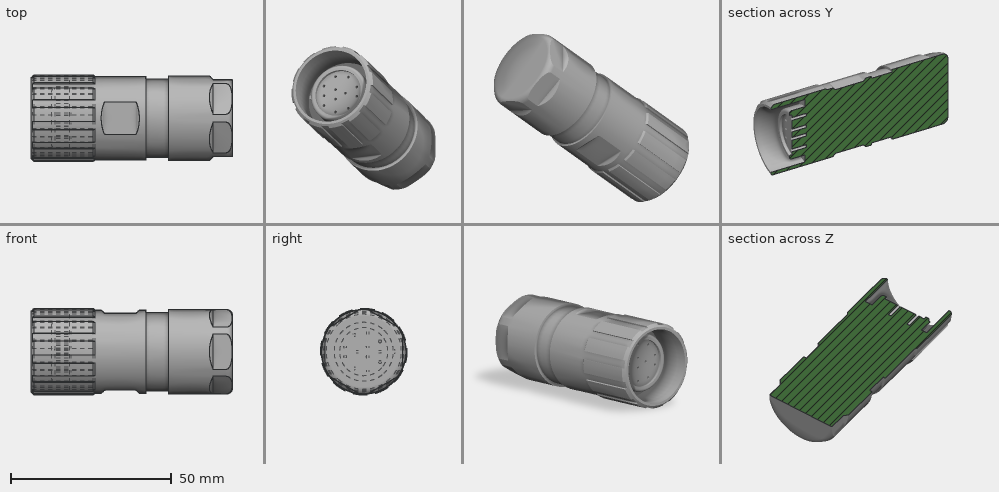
import cadquery as cq
import math

length = 62.92

sleeve_radius = 13.0
sleeve_end = 35.85
rib_radius = 13.5
rib_end = 20.0
rib_front_chamfer = 1.0
rib_rear_chamfer = 0.6
rib_count = 12
rib_width_angle = 18.8
rib_center_angle = 5.0

neck_radius = 12.25
nut_start = 42.86
nut_radius = 13.2
nut_end_round = 2.08
nut_flat_count = 6
first_nut_flat_angle = 90.0
nut_flat_distance = 12.0
nut_flat_start = 56.84

wrench_flat_count = 2
wrench_flat_distance = 12.0
wrench_flat_start = 22.93
wrench_flat_end = 32.85
wrench_flat_corner_round = 0.5

cavity_radius = 11.7
cavity_depth = 12.0
insert_radius = 9.2
insert_front = 6.5
insert_round = 0.95
recess_radius = 7.5
recess_depth = 1.0
key_radius = 0.7

contact_diameter = 0.9
contact_depth = 5.0
outer_contact_radius = 6.0
inner_contact_radius = 2.0
mirrored_outer_angles = (32.5, 78.0, 120.0, 165.0)
mirrored_inner_angle = 52.0
middle_contacts = ((5.05, 0.0), (-inner_contact_radius, 0.0))


def cylinder(start, end, radius):
    """Solid cylinder on the X axis between two X positions."""
    return cq.Workplane("YZ").workplane(offset=start).circle(radius).extrude(end - start)


def ring_point(radius, angle_degrees):
    """Point at a given radius and angle from the +Y direction, as (Y, Z)."""
    angle = math.radians(angle_degrees)
    return (radius * math.cos(angle), radius * math.sin(angle))


def make_ribbed_grip():
    """Ribbed front of the sleeve: a toothed prism trimmed by chamfers at both ends."""
    pitch = 360 / rib_count
    half_rib = rib_width_angle / 2
    outline = cq.Workplane("YZ").moveTo(*ring_point(rib_radius, -rib_center_angle - half_rib))
    for index in range(rib_count):
        rib_angle = index * pitch - rib_center_angle
        rib_edge = rib_angle + half_rib
        next_edge = rib_angle + pitch - half_rib
        outline = (
            outline.threePointArc(ring_point(rib_radius, rib_angle), ring_point(rib_radius, rib_edge))
            .lineTo(*ring_point(sleeve_radius, rib_edge))
            .threePointArc(
                ring_point(sleeve_radius, rib_angle + pitch / 2),
                ring_point(sleeve_radius, next_edge),
            )
        )
        if index < rib_count - 1:
            outline = outline.lineTo(*ring_point(rib_radius, next_edge))
    prism = outline.close().extrude(rib_end)

    envelope_profile = [
        (0, 0),
        (0, rib_radius - rib_front_chamfer),
        (rib_front_chamfer, rib_radius),
        (rib_end - rib_rear_chamfer, rib_radius),
        (rib_end, sleeve_radius),
        (rib_end, 0),
    ]
    envelope = cq.Workplane("XY").polyline(envelope_profile).close().revolve(360, (0, 0, 0), (1, 0, 0))
    return prism.intersect(envelope)


def make_body():
    """Solid outer shape: ribbed grip, plain sleeve, neck and round-ended nut."""
    sleeve = cylinder(rib_end, sleeve_end, sleeve_radius)
    neck = cylinder(sleeve_end, nut_start, neck_radius)
    nut = cylinder(nut_start, length, nut_radius).faces(">X").edges().fillet(nut_end_round)
    return make_ribbed_grip().union(sleeve).union(neck).union(nut)


def flat_cutter(start, end, distance, radius, rear_is_open):
    """Block removing everything above Z = distance, with 45 degree run-outs at closed ends."""
    rise = 2 * (radius - distance)
    rear_top = end if rear_is_open else end + rise
    profile = [
        (start, distance),
        (end, distance),
        (rear_top, distance + rise),
        (start - rise, distance + rise),
    ]
    return cq.Workplane("XZ").polyline(profile).close().extrude(radius, both=True)


def cut_around(body, cutter, count, first_angle):
    """Repeat a cut evenly around the X axis."""
    for index in range(count):
        angle = first_angle + index * 360 / count
        body = body.cut(cutter.rotate((0, 0, 0), (1, 0, 0), angle))
    return body


def make_insert():
    """Contact insert with rounded rim, recessed face and a small key on the +Y side."""
    insert = cylinder(insert_front, cavity_depth, insert_radius).faces("<X").edges().fillet(insert_round)
    recess = cylinder(insert_front, insert_front + recess_depth, recess_radius)
    key_start = insert_front + insert_round
    key = cylinder(key_start, cavity_depth, key_radius).translate((0, insert_radius, 0))
    return insert.union(key).cut(recess)


def contact_positions():
    """(Y, Z) of every contact; most come in pairs mirrored about Z = 0."""
    polar = [(outer_contact_radius, angle) for angle in mirrored_outer_angles]
    polar.append((inner_contact_radius, mirrored_inner_angle))
    positions = list(middle_contacts)
    for radius, angle in polar:
        positions += [ring_point(radius, angle), ring_point(radius, -angle)]
    return positions


def make_contact_holes():
    """Blind round holes sunk from the recessed insert face."""
    face = cq.Workplane("YZ").workplane(offset=insert_front + recess_depth)
    return face.pushPoints(contact_positions()).circle(contact_diameter / 2).extrude(contact_depth)


body = make_body()

wrench_cutter = flat_cutter(wrench_flat_start, wrench_flat_end, wrench_flat_distance, sleeve_radius, False)
wrench_cutter = wrench_cutter.faces("<Z").edges("|Y").fillet(wrench_flat_corner_round)
body = cut_around(body, wrench_cutter, wrench_flat_count, 0)

nut_cutter = flat_cutter(nut_flat_start, length, nut_flat_distance, nut_radius, True)
body = cut_around(body, nut_cutter, nut_flat_count, first_nut_flat_angle)

body = body.cut(cylinder(0, cavity_depth, cavity_radius))
body = body.union(make_insert())
result = body.cut(make_contact_holes())